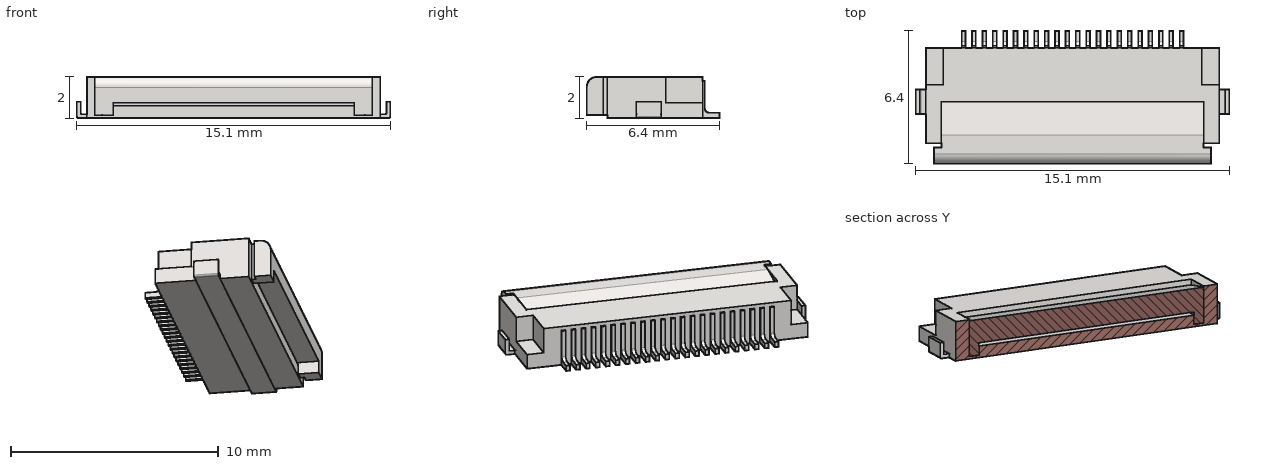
import cadquery as cq


CUT_MARGIN = 0.15

total_length = 15.1
total_depth = 6.4
height = 2.0

housing_length = 14.13
housing_front = 1.0
housing_back = 5.59
notch_length = 0.85
notch_depth = 1.78
notch_floor = 0.74

slot_width = 11.6
slot_floor = 0.6
slot_roof = 0.74

flange_length = 13.35
flange_back = 0.8
slider_bottom = 0.15
nose_radius = 0.5
tongue_length = 12.62
tongue_flat_end = 1.4
tongue_end = 3.0
tongue_drop = 0.29

contact_count = 22
contact_row_length = 10.5
contact_width = 0.2
contact_height = 1.8
contact_thickness = 0.1
contact_foot_height = 0.27
contact_bend_radius = 0.21

strap_front = 2.4
strap_width = 1.2
strap_thickness = 0.2
strap_end_height = 0.8
strap_outer_radius = 0.09
strap_inner_radius = 0.05


def block(length, y_start, y_end, z_start, z_end):
    """Box centred on X, between the given Y and Z limits."""
    return (
        cq.Workplane("XY")
        .box(length, y_end - y_start, z_end - z_start, centered=(True, False, False))
        .translate((0, y_start, z_start))
    )


def along_x(profile, length):
    """Extrude a YZ profile to a length centred on X = 0."""
    return profile.extrude(length / 2, both=True)


def make_slider():
    """Rounded flange and sloping tongue, with the cable slot cut along the underside."""
    flange = block(flange_length, 0, flange_back, slider_bottom, height)
    flange = flange.edges("|X and <Y and >Z").fillet(nose_radius)
    tongue_profile = cq.Workplane("YZ").polyline([
        (flange_back, slider_bottom),
        (tongue_end, slider_bottom),
        (tongue_end, height - tongue_drop),
        (tongue_flat_end, height),
        (flange_back, height),
    ]).close()
    slot = block(slot_width, -CUT_MARGIN, tongue_end + CUT_MARGIN, 0, slot_roof)
    return flange.union(along_x(tongue_profile, tongue_length)).cut(slot)


def make_strap():
    """Strip across the housing underside, with both ends bent up."""
    strap_back = strap_front + strap_width
    strip = block(total_length, strap_front, strap_back, 0, strap_end_height)
    strip = strip.edges("|Y and <Z").fillet(strap_outer_radius)
    inside_length = total_length - 2 * strap_thickness
    inside = block(inside_length, strap_front, strap_back, strap_thickness, strap_end_height)
    return strip.cut(inside.edges("|Y and <Z").fillet(strap_inner_radius))


def make_contact(x):
    """L-shaped solder tail on the back of the housing, centred at the given X."""
    wall_back = housing_back + contact_thickness
    profile = (
        cq.Workplane("YZ")
        .moveTo(housing_back, 0)
        .lineTo(total_depth, 0)
        .lineTo(total_depth, contact_foot_height)
        .lineTo(wall_back + contact_bend_radius, contact_foot_height)
        .radiusArc((wall_back, contact_foot_height + contact_bend_radius), contact_bend_radius)
        .lineTo(wall_back, contact_height)
        .lineTo(housing_back, contact_height)
        .close()
    )
    return along_x(profile, contact_width).translate((x, 0, 0))


def make_housing():
    """Block with a stepped slider pocket, notched back corners, a strap groove and contacts."""
    body = block(housing_length, housing_front, housing_back, 0, height)

    pocket = block(tongue_length, housing_front, tongue_end, slider_bottom, height)
    platform = block(slot_width, housing_front, tongue_end, slider_bottom, slot_floor)
    body = body.cut(pocket).union(platform)

    notch_front = housing_back - notch_depth
    notch_center_x = (housing_length - notch_length) / 2
    notch = block(notch_length, notch_front, housing_back, notch_floor, height)
    for side in (-1, 1):
        body = body.cut(notch.translate((side * notch_center_x, 0, 0)))

    strap_back = strap_front + strap_width
    body = body.cut(block(housing_length, strap_front, strap_back, 0, strap_thickness))

    contact_pitch = contact_row_length / (contact_count - 1)
    for i in range(contact_count):
        body = body.union(make_contact(i * contact_pitch - contact_row_length / 2))
    return body


housing = make_housing()
slider = make_slider()
strap = make_strap()
result = cq.Compound.makeCompound([housing.val(), slider.val(), strap.val()])